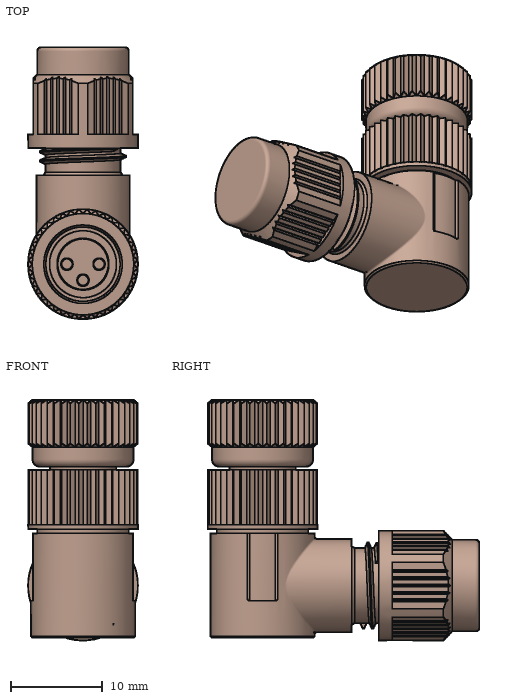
import cadquery as cq
import math

GRIP_R = 6.0

BODY_R = 5.7
BODY_BOTTOM = -5.7
BODY_TOP = 5.7
BODY_EDGE = 0.2
NECK_R = 5.0
FLANGE_BOTTOM = 6.15
RING_BOTTOM = 6.65
RING_TOP = 12.6

STEM_R = 3.63
NUT_BOTTOM = 12.95
NUT_KNURL_BOTTOM = 15.1
NUT_TOP = 20.25
COLLAR_R = 5.52
COLLAR_FILLET = 0.8
KNURL_EDGE = 0.4

TEETH = 40
TOOTH_ROOT_R = COLLAR_R

SOCKET_DEPTH = 5.5
SOCKET_R = 3.65
SOCKET_MOUTH_R = 4.28
SOCKET_LEDGE_R = 4.05
SOCKET_LEDGE_DEPTH = 0.65
INSERT_R = 2.83
INSERT_DROP = 0.5
INSERT_EDGE = 0.08
PIN_CIRCLE_R = 1.75
PIN_HOLE_R = 0.58
PIN_HOLE_EDGE = 0.08
PIN_HOLE_EDGE_DEPTH = 0.25
PIN_HOLE_DEPTH = 4.0
PIN_ANGLES = (0, 180, 270)

LABEL_HALF_WIDTH = 1.68
LABEL_BOTTOM = -1.65
LABEL_DEPTH = 0.2
LABEL_WALL = 0.3
LABEL_CORNER = 0.3

ARM_R = 5.1
ARM_END = 9.7
ARM_BLEND = 0.2
ROOT_R = 4.11
ROOT_FLARE = 0.19
ROOT_FLARE_LENGTH = 0.33
THREAD_PITCH = 1.0
THREAD_CREST_R = 4.7
THREAD_START = 11.0
THREAD_START_ANGLE = 90
THREAD_BASE = 0.75
THREAD_CREST = 0.15
THREAD_OVERLAP = 0.05

GLAND_START = 12.65
GLAND_FLAT_START = 14.15
GLAND_CONE_START = 19.7
GLAND_CONE_END = 20.67
GLAND_END = 23.65
CAP_R = 5.0
CAP_EDGE = 0.42
FLATS = 6
FLAT_DISTANCE = 5.43
GRIP_GROOVES = 5
GRIP_GROOVE_PITCH = 0.8
GRIP_GROOVE_WIDTH = 0.3
GRIP_GROOVE_DEPTH = 0.2


def disc(radius, start, end):
    """Cylinder on the Z axis between two heights."""
    return cq.Workplane("XY").workplane(offset=start).circle(radius).extrude(end - start)


def cone(start_r, end_r, start, end):
    """Cone frustum on the Z axis between two heights."""
    frustum = cq.Solid.makeCone(start_r, end_r, end - start, pnt=cq.Vector(0, 0, start))
    return cq.Workplane("XY").newObject([frustum])


def onto_cable_axis(shape):
    """Turn a shape built along +Z so that it lies along +Y."""
    return shape.rotate((0, 0, 0), (1, 0, 0), -90)


def polar(radius, angle):
    return (radius * math.cos(angle), radius * math.sin(angle))


def knurl(start, end):
    """Ring of sharp straight teeth, with a tooth root facing -Y."""
    step = math.pi / TEETH
    first = -math.pi / 2
    points = []
    for tooth in range(TEETH):
        angle = first + 2 * tooth * step
        points.append(polar(TOOTH_ROOT_R, angle))
        points.append(polar(GRIP_R, angle + step))
    return cq.Workplane("XY").workplane(offset=start).polyline(points).close().extrude(end - start)


def helix_band(start, length, base_r, crest_r, start_angle):
    """Right-handed trapezoidal thread solid around Z, based at base_r."""
    path = cq.Wire.makeHelix(THREAD_PITCH, length, base_r)
    profile = (
        cq.Workplane("XZ")
        .moveTo(base_r, -THREAD_BASE / 2)
        .lineTo(crest_r, -THREAD_CREST / 2)
        .lineTo(crest_r, THREAD_CREST / 2)
        .lineTo(base_r, THREAD_BASE / 2)
        .close()
    )
    band = profile.sweep(cq.Workplane(path), isFrenet=True)
    return band.rotate((0, 0, 0), (0, 0, 1), start_angle).translate((0, 0, start))


def label_recess():
    """Shallow recess on the +X side, concentric with the housing and open at its top."""
    outer_x = math.sqrt(BODY_R**2 - LABEL_HALF_WIDTH**2)
    floor_r = BODY_R - LABEL_DEPTH
    floor_half = LABEL_HALF_WIDTH - LABEL_WALL
    floor_x = math.sqrt(floor_r**2 - floor_half**2)
    height = BODY_TOP - LABEL_BOTTOM
    section = [
        (floor_x, -floor_half),
        (outer_x, -LABEL_HALF_WIDTH),
        (GRIP_R, -LABEL_HALF_WIDTH),
        (GRIP_R, LABEL_HALF_WIDTH),
        (outer_x, LABEL_HALF_WIDTH),
        (floor_x, floor_half),
    ]
    prism = cq.Workplane("XY").workplane(offset=LABEL_BOTTOM).polyline(section).close().extrude(height)
    window = (
        cq.Workplane("YZ")
        .center(0, LABEL_BOTTOM + height)
        .rect(2 * LABEL_HALF_WIDTH, 2 * height)
        .extrude(GRIP_R)
        .edges("|X")
        .fillet(LABEL_CORNER)
    )
    return prism.intersect(window).cut(disc(floor_r, LABEL_BOTTOM, BODY_TOP))


def housing():
    """Upright barrel blended into the cable arm, with the two label recesses."""
    barrel = disc(BODY_R, BODY_BOTTOM, BODY_TOP).faces("<Z").edges().chamfer(BODY_EDGE)
    arm = onto_cable_axis(disc(ARM_R, 0, ARM_END))
    body = barrel.union(arm)
    seam_box = cq.selectors.BoxSelector(
        (-GRIP_R, BODY_EDGE, -ARM_R - BODY_EDGE), (GRIP_R, BODY_R + BODY_EDGE, ARM_R + BODY_EDGE)
    )
    body = body.edges(seam_box).edges("not(#Y or #Z)").fillet(ARM_BLEND)
    recess = label_recess()
    return body.cut(recess).cut(recess.mirror("YZ"))


def knurled_ring():
    """Fixed knurled ring with its flange, and the necks below and above it."""
    neck = disc(NECK_R, BODY_TOP, FLANGE_BOTTOM)
    flange = disc(GRIP_R, FLANGE_BOTTOM, RING_BOTTOM)
    stem = disc(STEM_R, RING_TOP, NUT_BOTTOM)
    return neck.union(flange).union(knurl(RING_BOTTOM, RING_TOP)).union(stem)


def socket():
    """Bore with a tapered, ledged mouth."""
    bottom = NUT_TOP - SOCKET_DEPTH
    ledge = NUT_TOP - SOCKET_LEDGE_DEPTH
    return (
        cq.Workplane("XZ")
        .moveTo(0, bottom)
        .lineTo(SOCKET_R, bottom)
        .lineTo(SOCKET_R, ledge)
        .lineTo(SOCKET_LEDGE_R, ledge)
        .lineTo(SOCKET_MOUTH_R, NUT_TOP)
        .lineTo(0, NUT_TOP)
        .close()
        .revolve(360, (0, 0, 0), (0, 1, 0))
    )


def insert():
    """Contact carrier standing in the socket, with three countersunk contact holes."""
    top = NUT_TOP - INSERT_DROP
    carrier = disc(INSERT_R, NUT_TOP - SOCKET_DEPTH, top).faces(">Z").edges().chamfer(INSERT_EDGE)
    hole_mouth_r = PIN_HOLE_R + PIN_HOLE_EDGE
    hole = disc(PIN_HOLE_R, top - PIN_HOLE_DEPTH, top)
    countersink = cone(PIN_HOLE_R, hole_mouth_r, top - PIN_HOLE_EDGE_DEPTH, top)
    hole = hole.union(countersink)
    for angle in PIN_ANGLES:
        x, y = polar(PIN_CIRCLE_R, math.radians(angle))
        carrier = carrier.cut(hole.translate((x, y, 0)))
    return carrier


def coupling_nut():
    """Knurled nut with a rounded collar, holding the socket and its insert."""
    blank = disc(GRIP_R, NUT_KNURL_BOTTOM, NUT_TOP).edges().chamfer(KNURL_EDGE, GRIP_R - COLLAR_R)
    grip = knurl(NUT_KNURL_BOTTOM, NUT_TOP).intersect(blank)
    collar = disc(COLLAR_R, NUT_BOTTOM, NUT_KNURL_BOTTOM).faces("<Z").edges().fillet(COLLAR_FILLET)
    return collar.union(grip).cut(socket()).union(insert())


def threaded_end():
    """Threaded spigot that carries the cable nut."""
    root = disc(ROOT_R, ARM_END, GLAND_START)
    flare = cone(ROOT_R + ROOT_FLARE, ROOT_R, ARM_END, ARM_END + ROOT_FLARE_LENGTH)
    thread = helix_band(
        THREAD_START,
        GLAND_START - THREAD_START,
        ROOT_R - THREAD_OVERLAP,
        THREAD_CREST_R,
        THREAD_START_ANGLE,
    )
    return onto_cable_axis(root.union(flare).union(thread))


def grip_flat():
    """Cutter for one flat of the cable nut, with ridges that cut V-grooves along it."""
    length = GLAND_END - GLAND_FLAT_START
    flat = (
        cq.Workplane("XY")
        .box(GRIP_R, 2 * GRIP_R, length, centered=(False, True, False))
        .translate((FLAT_DISTANCE, 0, GLAND_FLAT_START))
    )
    half = GRIP_GROOVE_WIDTH / 2
    for index in range(GRIP_GROOVES):
        middle = (index - (GRIP_GROOVES - 1) / 2) * GRIP_GROOVE_PITCH
        groove = (
            cq.Workplane("XY")
            .workplane(offset=GLAND_FLAT_START)
            .moveTo(FLAT_DISTANCE - GRIP_GROOVE_DEPTH, middle)
            .lineTo(FLAT_DISTANCE, middle - half)
            .lineTo(FLAT_DISTANCE, middle + half)
            .close()
            .extrude(length)
        )
        flat = flat.union(groove)
    return flat


def cable_nut():
    """Six-flatted clamping nut with a rounded cap."""
    nut = (
        cq.Workplane("XZ")
        .moveTo(0, GLAND_START)
        .lineTo(GRIP_R, GLAND_START)
        .lineTo(GRIP_R, GLAND_CONE_START)
        .lineTo(CAP_R, GLAND_CONE_END)
        .lineTo(0, GLAND_CONE_END)
        .close()
        .revolve(360, (0, 0, 0), (0, 1, 0))
    )
    flat = grip_flat()
    for index in range(FLATS):
        nut = nut.cut(flat.rotate((0, 0, 0), (0, 0, 1), index * 360 / FLATS))
    cap = disc(CAP_R, GLAND_CONE_END, GLAND_END).faces(">Z").edges().fillet(CAP_EDGE)
    return onto_cable_axis(nut.union(cap))


result = housing().union(knurled_ring()).union(coupling_nut()).union(threaded_end()).union(cable_nut())